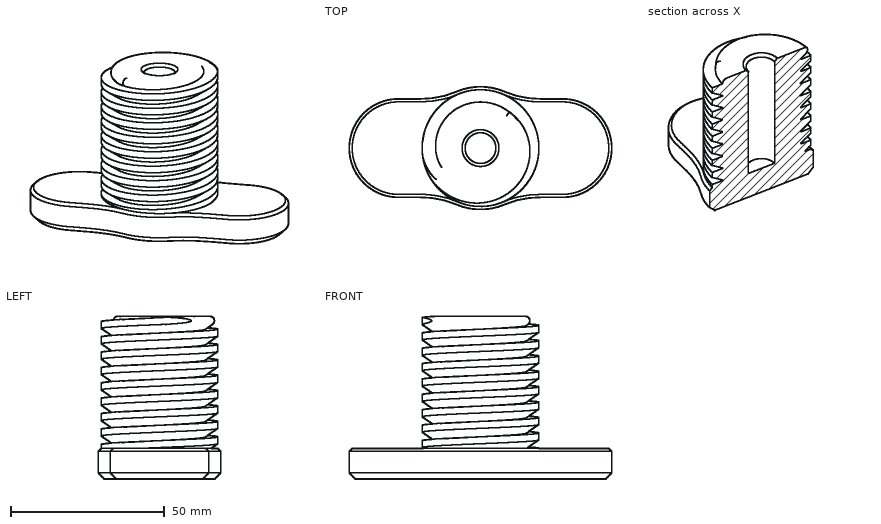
import math

import cadquery as cq

PLATE_LENGTH = 85.48
PLATE_HEIGHT = 10.0
HUB_RADIUS = 20.0
HUB_ARC_END_X = 8.06
WING_HALF_WIDTH = 16.0
WING_FLAT_START_X = 20.4
WING_FLAT_END_X = 25.3
PLATE_TOP_CHAMFER = 1.0
PLATE_BOTTOM_CHAMFER = 2.0

TOTAL_HEIGHT = 53.0
STEM_HEIGHT = TOTAL_HEIGHT - PLATE_HEIGHT
THREAD_RADIUS = 19.0
ROOT_RADIUS = 15.0
PITCH = 5.0
CREST_WIDTH = 2.25
THREAD_END_ANGLE = 216.0
TIP_ROUND_RADIUS = 1.5
TIP_LEAD_IN = 30.0

HOLE_RADIUS = 5.0
HOLE_CHAMFER = 1.0
HOLE_DEPTH = STEM_HEIGHT

RELIEF_SHARE = 0.85
SPIRAL_SAMPLES = 60
CLEARANCE = 1.5

FLANK_DROP = PITCH - CREST_WIDTH
FLANK_SLOPE = FLANK_DROP / (THREAD_RADIUS - ROOT_RADIUS)
FLANK_ANGLE = math.atan(FLANK_SLOPE)


def make_plate():
    """Two-winged plate: round hub, concave necks, short flats and round ends."""
    hub_y = math.sqrt(HUB_RADIUS**2 - HUB_ARC_END_X**2)
    neck = cq.Edge.makeSpline(
        [cq.Vector(HUB_ARC_END_X, hub_y), cq.Vector(WING_FLAT_START_X, WING_HALF_WIDTH)],
        tangents=[cq.Vector(hub_y, -HUB_ARC_END_X), cq.Vector(1, 0)],
    )
    flat = cq.Edge.makeLine(
        cq.Vector(WING_FLAT_START_X, WING_HALF_WIDTH),
        cq.Vector(WING_FLAT_END_X, WING_HALF_WIDTH),
    )
    right_end = cq.Edge.makeThreePointArc(
        cq.Vector(WING_FLAT_END_X, WING_HALF_WIDTH),
        cq.Vector(PLATE_LENGTH / 2, 0),
        cq.Vector(WING_FLAT_END_X, -WING_HALF_WIDTH),
    )
    hub_arc = cq.Edge.makeThreePointArc(
        cq.Vector(-HUB_ARC_END_X, hub_y),
        cq.Vector(0, HUB_RADIUS),
        cq.Vector(HUB_ARC_END_X, hub_y),
    )
    quarter = [neck, flat]
    upper = quarter + [edge.mirror("YZ") for edge in quarter] + [hub_arc]
    outline = upper + [edge.mirror("XZ") for edge in upper]
    outline += [right_end, right_end.mirror("YZ")]

    plate = cq.Workplane(cq.Wire.combine(outline)[0]).toPending().extrude(PLATE_HEIGHT)
    plate = plate.faces(">Z").chamfer(PLATE_TOP_CHAMFER)
    return plate.faces("<Z").chamfer(PLATE_BOTTOM_CHAMFER)


def load_flank_height(angle):
    """Height of the load flank's uppermost turn at an angle (degrees) around the stem."""
    return TOTAL_HEIGHT + PITCH * (angle - THREAD_END_ANGLE) / 360


def sweep_along_helix(points, start_z, height, start_angle=0):
    """Sweep a profile, given as (radius, height above start_z), along the thread helix."""
    helix = cq.Wire.makeHelix(PITCH, height, THREAD_RADIUS)
    body = cq.Workplane("XZ").polyline(points).close().sweep(cq.Workplane(helix), isFrenet=True)
    return body.rotate((0, 0, 0), (0, 0, 1), start_angle).translate((0, 0, start_z))


def make_threaded_blank():
    """Stem with its thread groove, cut on an overlong rod and then trimmed to height."""
    outer_radius = THREAD_RADIUS + CLEARANCE
    groove_height = TOTAL_HEIGHT + PITCH
    rod_height = groove_height + 2 * PITCH
    rod = cq.Workplane("XY").circle(THREAD_RADIUS).extrude(rod_height)
    groove_profile = [
        (ROOT_RADIUS, 0),
        (outer_radius, 0),
        (outer_radius, (outer_radius - ROOT_RADIUS) * FLANK_SLOPE),
    ]
    groove_start = load_flank_height(0) % PITCH
    groove = sweep_along_helix(groove_profile, groove_start, groove_height)
    stock = (
        cq.Workplane("XY")
        .workplane(offset=PLATE_HEIGHT)
        .circle(outer_radius)
        .extrude(STEM_HEIGHT)
    )
    return rod.cut(groove).intersect(stock)


def make_tip_cutter():
    """Cutter that leaves a rolled edge between the top face and the sloping flank of the last turn.

    The round's centre moves inward on a flat spiral, because the flank climbs past the top face.
    Returns the cutter and the angle at which it ends.
    """
    centre_z = TOTAL_HEIGHT - TIP_ROUND_RADIUS
    lower_edge_start_z = TOTAL_HEIGHT - CREST_WIDTH
    inward_per_degree = PITCH / 360 / FLANK_SLOPE
    flank_radius = THREAD_RADIUS + (centre_z - lower_edge_start_z) / FLANK_SLOPE
    runout_radius = flank_radius - TIP_ROUND_RADIUS / math.sin(FLANK_ANGLE)
    start_radius = runout_radius + TIP_LEAD_IN * inward_per_degree
    end_radius = ROOT_RADIUS - TIP_ROUND_RADIUS
    start_angle = THREAD_END_ANGLE - TIP_LEAD_IN
    sweep_angle = (start_radius - end_radius) / inward_per_degree

    def spiral_point(t):
        radius = start_radius + (end_radius - start_radius) * t
        angle = math.radians(sweep_angle * t)
        return (radius * math.cos(angle), radius * math.sin(angle), centre_z)

    spiral = cq.Workplane("XY").parametricCurve(spiral_point, N=SPIRAL_SAMPLES)
    reach = THREAD_RADIUS + CLEARANCE - end_radius
    tangent_offset = TIP_ROUND_RADIUS * math.sin(FLANK_ANGLE)
    tangent_z = -TIP_ROUND_RADIUS * math.cos(FLANK_ANGLE)
    relief_z = tangent_z + RELIEF_SHARE * FLANK_SLOPE * (reach - tangent_offset)
    profile = (
        cq.Workplane("XZ", origin=(start_radius, 0, centre_z))
        .moveTo(0, TIP_ROUND_RADIUS)
        .threePointArc((TIP_ROUND_RADIUS, 0), (tangent_offset, tangent_z))
        .lineTo(reach, relief_z)
        .lineTo(reach, TIP_ROUND_RADIUS + CLEARANCE)
        .lineTo(0, TIP_ROUND_RADIUS + CLEARANCE)
        .close()
    )
    cutter = profile.sweep(spiral, isFrenet=True)
    return cutter.rotate((0, 0, 0), (0, 0, 1), start_angle), start_angle + sweep_angle


def make_core_cutter(start_angle):
    """Cutter that rounds the core's top edge and clears the space above the last load flank.

    It takes over from the tip cutter at start_angle and covers the rest of the turn.
    """
    inner_radius = ROOT_RADIUS - TIP_ROUND_RADIUS
    reach = THREAD_RADIUS + CLEARANCE - inner_radius
    corner = (
        cq.Workplane("XZ", origin=(inner_radius, 0, TOTAL_HEIGHT - TIP_ROUND_RADIUS))
        .moveTo(0, TIP_ROUND_RADIUS)
        .radiusArc((TIP_ROUND_RADIUS, 0), TIP_ROUND_RADIUS)
        .lineTo(TIP_ROUND_RADIUS, -CLEARANCE)
        .lineTo(reach, -CLEARANCE)
        .lineTo(reach, TIP_ROUND_RADIUS + CLEARANCE)
        .lineTo(0, TIP_ROUND_RADIUS + CLEARANCE)
        .close()
        .revolve(360, (-inner_radius, 0, 0), (-inner_radius, 1, 0))
    )
    slab_profile = [
        (inner_radius - CLEARANCE, 0),
        (THREAD_RADIUS + 2 * CLEARANCE, 0),
        (THREAD_RADIUS + 2 * CLEARANCE, PITCH),
        (inner_radius - CLEARANCE, PITCH),
    ]
    angle = start_angle - 360
    start_z = load_flank_height(angle)
    above_flank = sweep_along_helix(slab_profile, start_z, TOTAL_HEIGHT - start_z, angle)
    return corner.intersect(above_flank)


def make_hole_cutter():
    """Blind hole down to the plate's top face, with a chamfered mouth."""
    bore = cq.Workplane("XY").workplane(offset=TOTAL_HEIGHT).circle(HOLE_RADIUS).extrude(-HOLE_DEPTH)
    mouth = cq.Solid.makeCone(
        HOLE_RADIUS,
        HOLE_RADIUS + HOLE_CHAMFER,
        HOLE_CHAMFER,
        pnt=cq.Vector(0, 0, TOTAL_HEIGHT - HOLE_CHAMFER),
    )
    return bore.union(cq.Workplane(mouth))


tip_cutter, tip_end_angle = make_tip_cutter()
stem = make_threaded_blank().cut(tip_cutter)
stem = stem.cut(make_core_cutter(tip_end_angle))
stem = stem.cut(make_hole_cutter())
result = make_plate().union(stem)